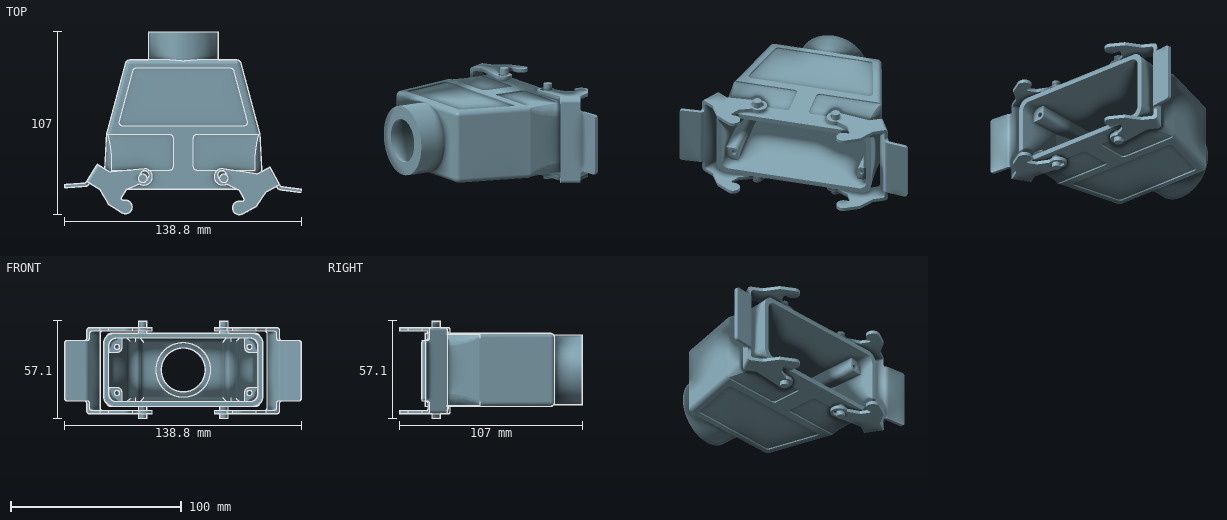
import cadquery as cq
import math


hood_half_depth = 21.5
rim_half_width = 46.7
shoulder_half_width = 45.0
roof_half_width = 33.3
shoulder_y = 32.1
roof_y = 75.8
edge_radius = 2.8
corner_radii = [(0.0, 6.1), (11.1, 7.4), (20.8, 6.7), (shoulder_y, edge_radius)]

neck_diameter = 41.0
neck_end_y = 92.0
sleeve_diameter = 32.0
sleeve_bore = 25.5

wall = 2.9
roof_wall = 3.0
cavity_half_depth = hood_half_depth - wall
mouth_half_width = 43.7
knee_half_width = 42.9
knee_y = 29.2
mouth_corner_radius = 4.6
ledge_y = 68.6
ledge_radius = 2.1
pocket_half_width = 25.5
pocket_flare_half_width = 28.0
pocket_end_radius = 2.2
pocket_side_radius = 2.9

boss_face_y = 9.3
boss_inner_x = 36.0
boss_inner_z = 10.3
boss_radius = 2.8
screw_x = 38.7
screw_z = 13.5
screw_diameter = 3.0
screw_depth = 9.7

panel_depth = 0.8
label_bottom_y = 37.1
label_top_y = 71.0
label_bottom_half_width = 38.2
label_radius = 2.1
grip_inner_x = 5.8
grip_bottom_y = 11.1
grip_radius = 2.2

pin_diameter = 5.0
pin_x = 23.7
pin_y = 6.4
pin_end_z = 28.53

sheet = 2.1
lever_z = -0.5
lever_half_depth = 25.3
back_x = 27.0
back_top_y = -7.1
back_bottom_y = -18.9
bend_outer_radius = 2.0
bend_inner_radius = 1.4
channel_start_x = 20.8
eye_radius = 5.0
slot_travel = 2.2
eye_top_angle = 75.0
arm_top_x = 18.5
arm_bottom_x = 17.8
hook_radius = 4.0
hook_x = -0.3
hook_y = -19.6
hook_heel_x = 8.7
throat_x = 4.6
throat_top_y = -10.5
throat_bottom_y = -17.8
throat_radius = 1.0
hook_lip_angle = 58.0
handle_half_width = 17.8
handle_bend_y = -20.0
handle_length = 12.4
handle_slope = 36.0
handle_corner_radius = 1.7
handle_inner_bend = 0.5
handle_root_radius = 1.7
right_tilt = 28.5
left_tilt = 32.0


def nearest_to(point):
    return cq.selectors.NearestToPointSelector(point)


def side_slope():
    """Inward run of the upper side walls per unit of Y."""
    return (shoulder_half_width - roof_half_width) / (roof_y - shoulder_y)


def slab(points, half_depth):
    """Outline in the XY plane, extruded evenly to both sides of Z = 0."""
    return cq.Workplane("XY").polyline(points).close().extrude(half_depth, both=True)


def tapered_slab(y0, half_width0, y1, half_width1, half_depth):
    """Symmetric trapezoid between two Y levels."""
    outline = [(-half_width0, y0), (half_width0, y0), (half_width1, y1), (-half_width1, y1)]
    return slab(outline, half_depth)


def four_way(shape):
    """Copies of a shape mirrored about X = 0 and Z = 0."""
    pair = shape.union(shape.mirror("YZ"))
    return pair.union(pair.mirror("XY"))


def corner_section(y, radius):
    """What rounding takes off the +X +Z corner at one Y level."""
    margin = 1.4
    side_x = rim_half_width + (shoulder_half_width - rim_half_width) * y / shoulder_y
    top_z = hood_half_depth
    centre_x = side_x - radius
    centre_z = top_z - radius
    middle = (centre_x + radius * math.sqrt(0.5), centre_z + radius * math.sqrt(0.5))
    return (
        cq.Workplane("XZ", origin=(0, y, 0))
        .moveTo(side_x, centre_z)
        .threePointArc(middle, (centre_x, top_z))
        .lineTo(centre_x, top_z + margin)
        .lineTo(side_x + margin, top_z + margin)
        .lineTo(side_x + margin, centre_z)
        .close()
        .val()
    )


def make_outside():
    upper = tapered_slab(shoulder_y, shoulder_half_width, roof_y, roof_half_width, hood_half_depth)
    upper = upper.edges("not(<Y)").fillet(edge_radius)
    lower = tapered_slab(0, rim_half_width, shoulder_y, shoulder_half_width, hood_half_depth)
    sections = [corner_section(y, radius) for y, radius in corner_radii]
    corner = cq.Workplane(cq.Solid.makeLoft(sections))
    lower = lower.cut(four_way(corner))
    neck_start_y = roof_y - roof_wall
    neck = cq.Workplane("XZ", origin=(0, neck_start_y, 0)).circle(neck_diameter / 2)
    return upper.union(lower).union(neck.extrude(neck_start_y - neck_end_y))


def make_roof_pocket():
    """Deeper middle of the cavity, opening with a rounded lip through the ledge."""
    top_y = roof_y - roof_wall
    top_half_width = pocket_half_width - side_slope() * (top_y - ledge_y)
    lip_y = ledge_y - ledge_radius
    half_outline = [
        (pocket_flare_half_width, lip_y),
        (pocket_flare_half_width, ledge_y),
        (pocket_half_width, ledge_y),
        (top_half_width, top_y),
    ]
    mirrored = [(-x, y) for x, y in reversed(half_outline)]
    pocket = slab(half_outline + mirrored, cavity_half_depth)
    rounded_corners = half_outline[2:] + mirrored[:2]
    for x, y in rounded_corners:
        pocket = pocket.edges(nearest_to((x, y, 0))).fillet(pocket_end_radius)
    side_rounding = (
        cq.Workplane("XY")
        .box(2 * pocket_flare_half_width, top_y - lip_y, 2 * cavity_half_depth, centered=(True, False, True))
        .translate((0, lip_y, 0))
        .edges("|X and >Y")
        .fillet(pocket_side_radius)
    )
    return pocket.intersect(side_rounding)


def make_cavity():
    ledge_half_width = knee_half_width - side_slope() * (ledge_y - knee_y)
    mouth = tapered_slab(0, mouth_half_width, knee_y, knee_half_width, cavity_half_depth)
    mouth = mouth.edges("not(#Y)").edges("not(|X)").edges("not(|Z)").fillet(mouth_corner_radius)
    chamber = tapered_slab(knee_y, knee_half_width, ledge_y, ledge_half_width, cavity_half_depth)
    chamber = chamber.faces(">Y").edges().fillet(ledge_radius)
    return mouth.union(chamber).union(make_roof_pocket())


def make_bosses(cavity):
    """Four corner posts that fill the cavity's corners from the boss face up to the sloping walls."""
    boss = (
        cq.Workplane("XY")
        .box(
            mouth_half_width - boss_inner_x,
            ledge_y - boss_face_y,
            cavity_half_depth - boss_inner_z,
            centered=False,
        )
        .translate((boss_inner_x, boss_face_y, boss_inner_z))
        .edges("|Y and <X and <Z")
        .fillet(boss_radius)
    )
    screw_hole = cq.Workplane("XZ", origin=(screw_x, boss_face_y, screw_z)).circle(screw_diameter / 2)
    return four_way(boss.cut(screw_hole.extrude(-screw_depth)))


def make_label_panel():
    label_top_half_width = label_bottom_half_width - side_slope() * (label_top_y - label_bottom_y)
    panel = tapered_slab(
        label_bottom_y, label_bottom_half_width, label_top_y, label_top_half_width, panel_depth
    )
    return panel.edges("not(#Z)").fillet(label_radius).translate((0, 0, hood_half_depth))


def make_grip_panel():
    panel = (
        cq.Workplane("XY")
        .box(rim_half_width - grip_inner_x, shoulder_y - grip_bottom_y, 2 * panel_depth, centered=(False, False, True))
        .edges("|Z and <X")
        .fillet(grip_radius)
    )
    return panel.translate((grip_inner_x, grip_bottom_y, hood_half_depth))


def make_pin():
    start_z = hood_half_depth - wall / 2
    pin = cq.Workplane("XY", origin=(pin_x, pin_y, start_z)).circle(pin_diameter / 2)
    return pin.extrude(pin_end_z - start_z)


def make_hood():
    cavity = make_cavity()
    bore = cq.Workplane("XZ", origin=(0, ledge_y, 0)).circle(sleeve_diameter / 2)
    hood = make_outside().cut(four_way(make_label_panel())).cut(four_way(make_grip_panel()))
    hollow = cavity.cut(make_bosses(cavity))
    hood = hood.cut(hollow).cut(bore.extrude(ledge_y - neck_end_y))
    return hood.union(four_way(make_pin()))


def make_sleeve():
    """Sleeve lining the neck, flush with the inner roof and with the neck's end."""
    start_y = roof_y - roof_wall
    ring = cq.Workplane("XZ", origin=(0, start_y, 0)).circle(sleeve_diameter / 2).circle(sleeve_bore / 2)
    return ring.extrude(start_y - neck_end_y)


def make_lever_arms():
    """Two flat hooked plates with a slotted eye that rides on the pin."""
    lip = math.radians(hook_lip_angle)
    lip_start = (hook_x + hook_radius * math.cos(lip), hook_y + hook_radius * math.sin(lip))
    eye_y = slot_travel / 2
    eye_top = math.radians(eye_top_angle)
    eye_top_point = (eye_radius * math.cos(eye_top), eye_y + eye_radius * math.sin(eye_top))
    outline = (
        cq.Workplane("XY")
        .moveTo(*eye_top_point)
        .lineTo(arm_top_x, back_top_y)
        .lineTo(channel_start_x, back_top_y)
        .lineTo(channel_start_x, back_bottom_y)
        .lineTo(arm_bottom_x, back_bottom_y)
        .lineTo(hook_heel_x, hook_y - hook_radius)
        .lineTo(hook_x, hook_y - hook_radius)
        .threePointArc((hook_x - hook_radius, hook_y), lip_start)
        .lineTo(throat_x, throat_bottom_y)
        .lineTo(throat_x, throat_top_y)
        .lineTo(0, eye_y - eye_radius)
        .threePointArc((-eye_radius, eye_y), eye_top_point)
        .close()
    )
    arms = outline.extrude(lever_half_depth, both=True)
    arms = arms.edges(nearest_to((throat_x, throat_bottom_y, 0))).fillet(throat_radius)
    slot = cq.Workplane("XY", origin=(0, eye_y, 0)).slot2D(slot_travel + pin_diameter, pin_diameter, 90)
    arms = arms.cut(slot.extrude(lever_half_depth, both=True))
    gap = cq.Workplane("XY").box(4 * back_x, 4 * back_x, 2 * (lever_half_depth - sheet))
    return arms.cut(gap)


def channel_block(end_x, half_depth, bend_radius):
    """Block behind the arms with its two far edges rounded."""
    return (
        cq.Workplane("XY")
        .box(
            end_x - channel_start_x,
            back_top_y - back_bottom_y,
            2 * half_depth,
            centered=(False, False, True),
        )
        .translate((channel_start_x, back_bottom_y, 0))
        .edges("|Y and >X")
        .fillet(bend_radius)
    )


def make_back_wall():
    outer = channel_block(back_x, lever_half_depth, bend_outer_radius)
    inner = channel_block(back_x - sheet, lever_half_depth - sheet, bend_inner_radius)
    return outer.cut(inner)


def bent_strip(half_width):
    """Sheet strip that follows the back wall down and bends outwards as a finger tab."""
    slope = math.radians(handle_slope)
    half_bend = math.radians(90 - handle_slope) / 2
    tip_x = back_x + handle_length * math.cos(slope)
    tip_y = handle_bend_y - handle_length * math.sin(slope)
    inner_bend = (back_x - sheet, handle_bend_y - sheet * math.tan(half_bend))
    inner_tip = (tip_x - sheet * math.sin(slope), tip_y - sheet * math.cos(slope))
    strip = slab(
        [
            (back_x, back_bottom_y),
            (back_x, handle_bend_y),
            (tip_x, tip_y),
            inner_tip,
            inner_bend,
            (back_x - sheet, back_bottom_y),
        ],
        half_width,
    )
    strip = strip.edges(nearest_to((back_x, handle_bend_y, 0))).fillet(handle_inner_bend)
    return strip.edges(nearest_to((*inner_bend, 0))).fillet(handle_inner_bend + sheet)


def make_handle():
    """Finger tab with rounded tip corners and a concave fillet where it leaves the wider back wall."""
    tab = bent_strip(handle_half_width)
    tab = tab.faces(">X").edges("not(|Z)").fillet(handle_corner_radius)
    root_z = handle_half_width + handle_root_radius
    root_y = back_bottom_y - handle_root_radius
    root = (
        cq.Workplane("YZ", origin=(channel_start_x, 0, 0))
        .moveTo(back_bottom_y, handle_half_width)
        .lineTo(root_y, handle_half_width)
        .radiusArc((back_bottom_y, root_z), -handle_root_radius)
        .close()
        .extrude(handle_length)
    )
    wide_strip = bent_strip(root_z)
    root = root.union(root.mirror("XY")).intersect(wide_strip)
    return tab.union(root)


def make_lever(tilt):
    """Lever on the +X pins, turned up about the pin by the tilt angle."""
    lever = make_lever_arms().union(make_back_wall()).union(make_handle())
    return lever.rotate((0, 0, 0), (0, 0, 1), tilt).translate((pin_x, pin_y, lever_z))


hood = make_hood()
sleeve = make_sleeve()
right_lever = make_lever(right_tilt)
left_lever = make_lever(left_tilt).mirror("YZ")

result = cq.Compound.makeCompound([hood.val(), sleeve.val(), right_lever.val(), left_lever.val()])